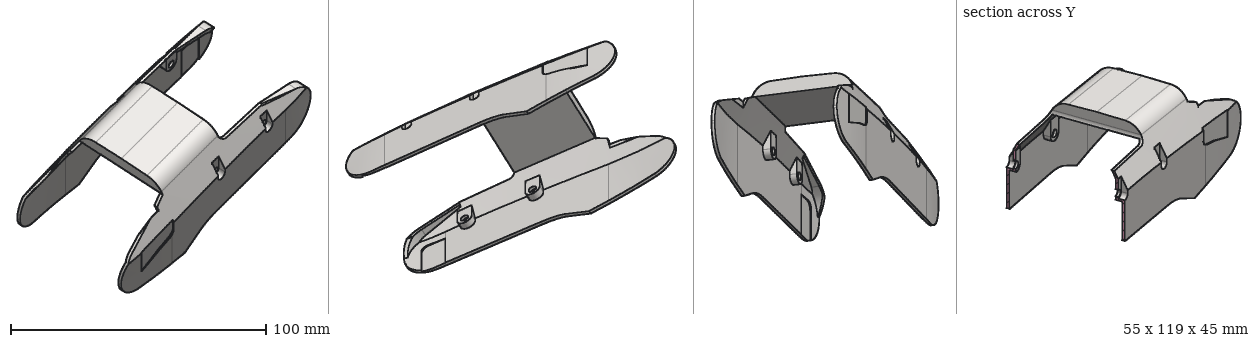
import cadquery as cq

length = 119.0
half_length = length / 2
deck_top = 45.0
deck_underside = 38.5
deck_crown = 0.4
deck_tilt = 0.01
shoulder_radius = 8.6
slope_top = 40.3
flank_run_per_rise = 0.56
skin = 1.4
overlap = 2.4

wall_rear_end_x = 25.6
wall_rear_x = 26.8
wall_front_x = 27.5
wall_front_end_x = 26.2
rear_tangent_y = 42.0
front_tangent_y = -29.6
rear_bow = (52.4, 26.3)
front_bow = (-45.8, 27.1)
flank_stations = [(60.7, 17.6), (42.0, 19.3), (6.0, 20.2), (-29.8, 20.0), (-60.7, 18.6)]
max_flank_x = max(flank_x for _, flank_x in flank_stations)

deck_rear = 8.1
deck_front = -27.1
arm_top_z = 37.0
deck_corner_radius = 3.3
rear_end_radius = 12.4
rear_end_z = 18.0
rear_end_y = half_length - rear_end_radius
rear_bend_y = 33.3
rear_bend_z = 35.9
rear_slope_end_y = 51.4
rear_slope_end_z = 29.6
front_end_z = 18.2
notch_y = -32.0

rear_clear_x = 20.8
front_clear_x = 22.8

rim_width = 1.4
rim_slope_top = (rear_clear_x, 26.0)
rim_slope_bottom = (24.3, 18.6)

bevel_start = (21.7, rear_bend_y, rear_bend_z)
bevel_end = (24.6, rear_slope_end_y, rear_slope_end_z)
bevel_drop = 0.6
bevel_overrun = 1.2

slot_ys = (32.0, 2.0)
slot_width = 4.2
slot_floor_x = 23.9
slot_z = 26.3
pin_hole_diameter = 3.2
boss_width = 6.4
boss_face_x = 22.5

front_recess_floor_x = 26.9
front_recess_start = -28.2
front_recess_end = -47.7
front_recess_top = 35.7
rear_recess_floor_x = 25.5
rear_recess_end = 52.4
rear_recess_top = 22.5
rear_recess_corner = 3.3


def wall_prism(inset):
    """Right half of the plan outline of the bowed walls, moved inward and extruded upward."""
    return (
        cq.Workplane("XY", origin=(0, 0, -overlap))
        .moveTo(wall_rear_end_x - inset, half_length)
        .threePointArc((rear_bow[1] - inset, rear_bow[0]), (wall_rear_x - inset, rear_tangent_y))
        .lineTo(wall_front_x - inset, front_tangent_y)
        .threePointArc((front_bow[1] - inset, front_bow[0]), (wall_front_end_x - inset, -half_length))
        .lineTo(0, -half_length)
        .lineTo(0, half_length)
        .close()
        .extrude(deck_top + 2 * overlap)
    )


def flank_foot(flank_x):
    """Half width where the flank, carried straight down, ends below the part."""
    return flank_x + (slope_top + overlap) * flank_run_per_rise


def outer_section(y, flank_x):
    crown_z = deck_top - deck_tilt * (deck_rear - y)
    corner_z = crown_z - deck_crown
    corner_x = flank_x - (corner_z - slope_top) * flank_run_per_rise
    points = [
        (0, -overlap),
        (flank_foot(flank_x), -overlap),
        (corner_x, corner_z),
        (0, crown_z),
    ]
    return cq.Workplane("XZ", origin=(0, y, 0)).polyline(points).close().wires().val()


def inner_section(y, flank_x):
    roof_x = flank_x - skin + (slope_top - deck_underside) * flank_run_per_rise
    points = [
        (0, -overlap),
        (flank_foot(flank_x) - skin, -overlap),
        (roof_x, deck_underside),
        (0, deck_underside),
    ]
    return cq.Workplane("XZ", origin=(0, y, 0)).polyline(points).close().wires().val()


def flank_loft(section):
    """Half body under the leaning flank and the deck, over the whole length."""
    return cq.Workplane(cq.Solid.makeLoft([section(*station) for station in flank_stations]))


def outer_half():
    body = flank_loft(outer_section)
    shoulder = body.edges(cq.selectors.NearestToPointSelector((max_flank_x, 0, deck_top)))
    return shoulder.fillet(shoulder_radius).intersect(wall_prism(0))


def inner_half():
    return flank_loft(inner_section).intersect(wall_prism(skin))


def along_x(plane_x, depth, outline):
    """Solid from a lengthwise outline, extruded outward from plane_x."""
    return outline(cq.Workplane("YZ", origin=(plane_x, 0, 0))).close().extrude(depth)


def side_outline(plane):
    return (
        plane.moveTo(deck_rear, deck_top + overlap)
        .lineTo(deck_rear, arm_top_z + deck_corner_radius)
        .radiusArc((deck_rear + deck_corner_radius, arm_top_z), -deck_corner_radius)
        .lineTo(rear_bend_y, rear_bend_z)
        .lineTo(rear_slope_end_y, rear_slope_end_z)
        .threePointArc((half_length, rear_end_z), (rear_end_y, rear_end_z - rear_end_radius))
        .lineTo(38.5, 5.7)
        .lineTo(0, 6.4)
        .threePointArc((-5.5, 6.2), (-10.5, 5.0))
        .lineTo(-21.2, 0)
        .lineTo(-50.3, 5.7)
        .threePointArc((-half_length, front_end_z), (-51.3, 29.4))
        .lineTo(-35.9, 35.2)
        .lineTo(notch_y, 36.4)
        .lineTo(deck_front, deck_underside)
        .lineTo(deck_front, deck_top + overlap)
    )


def round_bottomed_block(face_x, y, radius):
    """Upright block reaching outward from face_x, with a half-round lower end around the pin."""
    return (
        cq.Workplane("YZ", origin=(face_x, y, slot_z))
        .moveTo(-radius, 0)
        .threePointArc((0, -radius), (radius, 0))
        .lineTo(radius, slope_top - slot_z)
        .lineTo(-radius, slope_top - slot_z)
        .close()
        .extrude(half_length)
    )


def pin_boss(y):
    return round_bottomed_block(boss_face_x, y, boss_width / 2)


def pin_slot(y):
    slot = round_bottomed_block(slot_floor_x, y, slot_width / 2)
    hole = (
        cq.Workplane("YZ", origin=(rear_clear_x, y, slot_z))
        .circle(pin_hole_diameter / 2)
        .extrude(half_length)
    )
    return slot.union(hole)


def rear_rim(side):
    """Inward lip that follows the top edge of the rear arm and round its tip."""
    ring = side.cut(side.translate((0, -rim_width, -rim_width)))
    profile = (
        cq.Workplane("XZ", origin=(0, half_length, 0))
        .moveTo(rear_clear_x, deck_top)
        .lineTo(*rim_slope_top)
        .lineTo(*rim_slope_bottom)
        .lineTo(half_length, rim_slope_bottom[1])
        .lineTo(half_length, deck_top)
        .close()
        .extrude(half_length - rear_bend_y)
    )
    return profile.intersect(ring)


def front_recess(plane):
    return (
        plane.moveTo(front_recess_start, front_recess_top)
        .lineTo(front_recess_start, 21.9)
        .threePointArc((-29.0, 20.5), (-30.8, 19.5))
        .lineTo(-36.9, 18.3)
        .lineTo(front_recess_end, 14.9)
        .lineTo(front_recess_end, front_recess_top)
    )


def rear_recess(plane):
    return (
        plane.moveTo(rear_tangent_y, -overlap)
        .lineTo(rear_recess_end, -overlap)
        .lineTo(rear_recess_end, rear_recess_top - rear_recess_corner)
        .radiusArc((rear_recess_end - rear_recess_corner, rear_recess_top), -rear_recess_corner)
        .lineTo(rear_tangent_y, rear_recess_top)
    )


def rim_bevel():
    """Narrow bevel along the outer edge of the rear arm's sloping top."""
    start = cq.Vector(*bevel_start)
    run = cq.Vector(*bevel_end) - start
    plane = cq.Plane(origin=bevel_start, xDir=(1, 0, 0), normal=run.toTuple())
    reach = 2 * overlap
    points = [(0, 0), (reach, bevel_drop * reach), (reach, -reach)]
    return cq.Workplane(plane).polyline(points).close().extrude(run.Length * bevel_overrun)


def front_clearance():
    return cq.Workplane("XY").box(
        front_clear_x, half_length + notch_y, deck_top, centered=False
    ).translate((0, -half_length, 0))


side = along_x(0, half_length, side_outline)
blank = outer_half().intersect(side)
hollow = inner_half().cut(rear_rim(side))
for slot_y in slot_ys:
    hollow = hollow.cut(pin_boss(slot_y))

half = blank.cut(hollow)
for slot_y in slot_ys:
    half = half.cut(pin_slot(slot_y))
half = half.cut(along_x(front_recess_floor_x, overlap, front_recess))
half = half.cut(along_x(rear_recess_floor_x - overlap, overlap, rear_recess))
half = half.cut(rim_bevel())
half = half.cut(front_clearance())

result = half.union(half.mirror("YZ"))